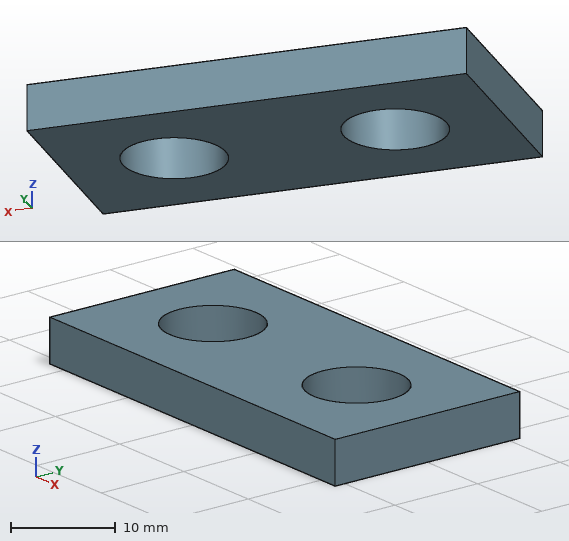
import cadquery as cq

length = 44.45
width = 22.35
thickness = 4.75

hole_diameter = 10.4
hole_spacing = width

plate = cq.Workplane("XY").box(length, width, thickness)

result = (
    plate.faces(">Z")
    .workplane()
    .rarray(hole_spacing, width, 2, 1)
    .hole(hole_diameter)
)